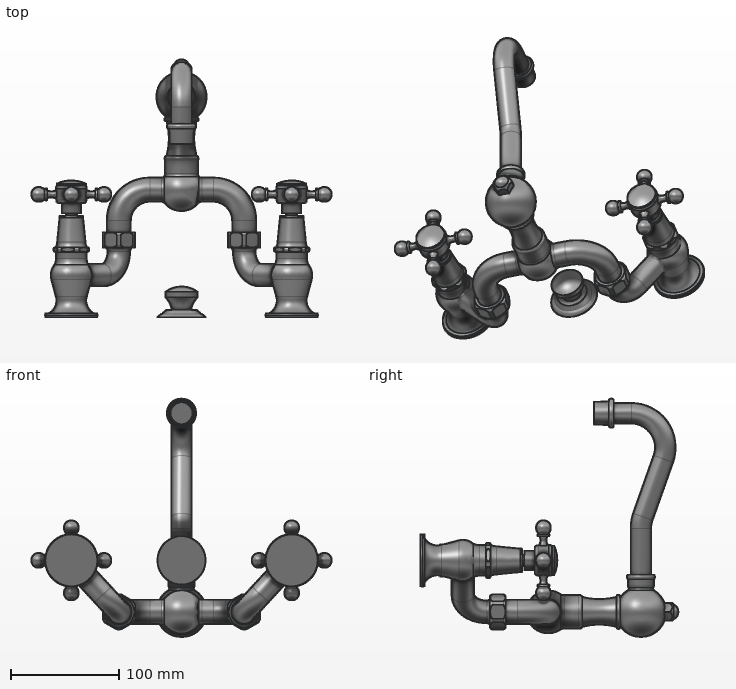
import cadquery as cq
import math


total_width = 277.24
total_depth = 238
total_height = 220.07
valve_x = 101.6
valve_z = 47.5
pipe_x = 57.8
inlet_y = 39
bridge_y = 117.8
spout_y = 203.3
spout_ball_radius = 23.3
outlet_z = 183.2

flange_radius = 24.3
flange_thickness = 3.8
flange_chamfer = 0.4
flare_foot = (20.5, flange_thickness)
flare_sag = 2.8
waist = (14.4, 19.3)
bulge_start = (18.6, 35.1)
bulge_end = (15.5, 48.5)
shoulder_end = (14.3, 54.3)
shoulder_sag = 0.3
band_start = (14.3, 60.2)
band_end = (14.3, 64.8)
cone_start = (13.2, 69.8)
cone_sag = 0.3
cone_end = (11, 91.8)
cone_top = (10.4, 93.7)
cone_top_sag = 0.3
stem_radius = 5.3
collar_radius = 9.05
collar_y = 95.8

band_flat_apothem = 15.4
band_flat_angle = -18

hub_bottom = (12.2, 105.3)
hub_side_start = (14.1, 108.5)
hub_side_end = (14.1, 118.5)
hub_top = (13.3, 121.2)
hub_round_sag = 0.5
cap_start = (13.6, 121.6)
cap_end = (13.6, 123.3)
cap_top_y = 126.4
arm_count = 4
arm_y = 113.4
arm_reach = total_width / 2 - valve_x
ball_radius = 6.95
arm_root = (4.6, 13.3)
arm_waist = (2.9, 18)
arm_neck = (3.7, 22.2)
bead_start = (4.6, 22.2)
bead_end = (4.6, 24.3)
ball_joint_station = 25.7

inlet_pipe_radius = 10.5
inlet_bend_radius = 22
inlet_fillet = 2
sleeve_start = (inlet_pipe_radius, inlet_y + inlet_bend_radius)
sleeve_end = (12, 64)
sleeve_sag = 0.4
nut_start_y = sleeve_end[1]
nut_end_y = 78.7
nut_radius = 16.3
nut_apothem = 15
nut_end_radius = 14.2
nut_end_length = 2.5
nut_end_sag = 0.4
bridge_pipe_radius = 11.25
bridge_bend_radius = 28.4
bridge_flare_start = (12.6, 15)
bridge_flare_end = (bridge_pipe_radius, 18.6)
bridge_flare_sag = 0.3

center_ball_radius = 19.9
body_flare = (16.1, 129.6)
body_flare_sag = 0.2
body_start = (15.6, 132.7)
body_end = (15.6, 145.4)
trumpet_start = (13.9, 149.2)
trumpet_end = (13.9, 180.8)
body_bead_sag = 0.8
trumpet_sag = 2
ring_inner_radius = 14.5
ring_end_y = 184.1
finial_apothem = 8.2
finial_start_y = 222
finial_corner = (9.4, 230)
finial_corner_sag = 0.3
finial_dome = (6.6, 233.8)

spout_tube_radius = 9.6
spout_bend_radius = 31.5
spout_lean = math.radians(19.5)
upper_bend_y = 194.3
socket_foot = (12, 19.8)
socket_neck = (11.3, 22.4)
socket_start = (12.1, 24.2)
socket_round_sag = 0.2
socket_bead_start = (12.1, 30)
socket_bead_end = (12.1, 34.4)
socket_bead_sag = 0.9
outlet_bead_start_y = 178.4
outlet_bead_end_y = 173.7
outlet_bead_radius = total_height - spout_ball_radius - outlet_z
outlet_bead_side_radius = 12.2
outlet_start_radius = 11.2
outlet_end_radius = 10.6
outlet_tip_chamfer = 0.5
outlet_tip_y = 159.6

plate_radius = 22.3
plate_step = (17.8, 3.5)
plate_step_sag = 0.4
plate_top = (14.2, 6.8)
knob_neck = (9.1, 6.8)
knob_start = (14.9, 18.4)
knob_neck_sag = 1.2
knob_end = (14.9, 23.5)
knob_top_y = 28.6


def outline(radius, station):
    """Start a half section on the axis and run out to the given radius."""
    return cq.Workplane("XY").moveTo(0, station).lineTo(radius, station)


def turned(half_section):
    """Close a half section along the axis and turn it about Y."""
    return half_section.close().revolve(360, (0, 0, 0), (0, 1, 0))


def ball(radius, y):
    return cq.Workplane("XY").sphere(radius).translate((0, y, 0))


def hex_bar(apothem, start_y, end_y, flat_angle):
    """Hexagonal bar along Y with one flat facing flat_angle degrees from +X towards -Z."""
    across_corners = 2 * apothem / math.cos(math.pi / 6)
    section = cq.Workplane("XZ").polygon(6, across_corners)
    bar = section.extrude(start_y - end_y).translate((0, start_y, 0))
    return bar.rotate((0, 0, 0), (0, 1, 0), 30 + flat_angle)


def tube(path, radius, plane):
    return cq.Workplane(plane).circle(radius).sweep(path)


def valve_body():
    rim_radius = flange_radius - flange_chamfer
    return turned(
        outline(rim_radius, 0)
        .lineTo(flange_radius, flange_thickness / 2)
        .lineTo(rim_radius, flange_thickness)
        .lineTo(*flare_foot)
        .sagittaArc(waist, flare_sag)
        .lineTo(*bulge_start)
        .tangentArcPoint(bulge_end, relative=False)
        .sagittaArc(shoulder_end, shoulder_sag)
        .lineTo(*band_end)
        .sagittaArc(cone_start, cone_sag)
        .lineTo(*cone_end)
        .sagittaArc(cone_top, -cone_top_sag)
        .lineTo(stem_radius, cone_top[1])
        .lineTo(stem_radius, collar_y)
        .lineTo(collar_radius, collar_y)
        .lineTo(collar_radius, hub_bottom[1])
        .lineTo(0, hub_bottom[1])
    )


def valve_band():
    """Half-round band with six flats."""
    half_width = (band_end[1] - band_start[1]) / 2
    band = turned(
        outline(*band_start)
        .sagittaArc(band_end, -half_width)
        .lineTo(0, band_end[1])
    )
    return band.intersect(hex_bar(band_flat_apothem, band_start[1], band_end[1], band_flat_angle))


def dome_sag(rim, top_y):
    """Sag of the half arc from a dome's rim to its top, for a dome that is level at the top."""
    rise = top_y - rim[1]
    dome_radius = (rim[0] ** 2 + rise**2) / (2 * rise)
    return dome_radius * (1 - math.cos(math.atan2(rise, rim[0])))


def handle_hub():
    return turned(
        outline(*hub_bottom)
        .sagittaArc(hub_side_start, -hub_round_sag)
        .lineTo(*hub_side_end)
        .sagittaArc(hub_top, -hub_round_sag)
        .lineTo(*cap_start)
        .lineTo(*cap_end)
        .sagittaArc((0, cap_top_y), -dome_sag(cap_end, cap_top_y))
    )


def handle_arm():
    """Arm along +Y with a flared root, a half-round bead and a ball end."""
    bead_half_width = (bead_end[1] - bead_start[1]) / 2
    ball_center = arm_reach - ball_radius
    joint_radius = math.sqrt(ball_radius**2 - (ball_center - ball_joint_station) ** 2)
    arm = turned(
        outline(arm_root[0], 0)
        .lineTo(*arm_root)
        .threePointArc(arm_waist, arm_neck)
        .lineTo(*bead_start)
        .sagittaArc(bead_end, -bead_half_width)
        .lineTo(joint_radius, ball_joint_station)
        .lineTo(0, ball_center)
    )
    return arm.union(ball(ball_radius, ball_center))


def cross_handle():
    """Hub on the Y axis with its arms."""
    handle = handle_hub()
    for index in range(arm_count):
        arm = handle_arm().rotate((0, 0, 0), (0, 0, 1), -90)
        arm = arm.rotate((0, 0, 0), (0, 1, 0), index * 360 / arm_count)
        handle = handle.union(arm.translate((0, arm_y, 0)))
    return handle


def inlet_pipe():
    """Pipe from inside the valve's bulge, sloping down to the nut axis, then turning along +Y."""
    run = math.hypot(valve_x - pipe_x, valve_z)
    slope = cq.Vector(pipe_x - valve_x, 0, -valve_z)
    path_plane = cq.Plane((valve_x, inlet_y, valve_z), slope, slope.cross(cq.Vector(0, 1, 0)))
    path = (
        cq.Workplane(path_plane)
        .lineTo(run - inlet_bend_radius, 0)
        .tangentArcPoint((inlet_bend_radius, inlet_bend_radius))
    )
    pipe = tube(path, inlet_pipe_radius, cq.Plane(path_plane.origin, (0, 1, 0), slope))
    sleeve = turned(
        outline(*sleeve_start)
        .sagittaArc(sleeve_end, sleeve_sag)
        .lineTo(0, sleeve_end[1])
    )
    return pipe.union(sleeve.translate((pipe_x, 0, 0)))


def union_nut():
    """Hexagonal nut whose corners are cut back to a cylinder with rounded ends."""
    blank = turned(
        outline(nut_end_radius, nut_start_y)
        .sagittaArc((nut_radius, nut_start_y + nut_end_length), -nut_end_sag)
        .lineTo(nut_radius, nut_end_y - nut_end_length)
        .sagittaArc((nut_end_radius, nut_end_y), -nut_end_sag)
        .lineTo(0, nut_end_y)
    )
    nut = blank.intersect(hex_bar(nut_apothem, nut_start_y, nut_end_y, 0))
    return nut.translate((pipe_x, 0, 0))


def bridge_pipe():
    """Pipe from the center ball along +X, bent back to the union nut."""
    path = (
        cq.Workplane("XY", origin=(0, bridge_y, 0))
        .lineTo(pipe_x - bridge_bend_radius, 0)
        .tangentArcPoint((bridge_bend_radius, -bridge_bend_radius))
        .lineTo(pipe_x, nut_end_y - bridge_y)
    )
    pipe = tube(path, bridge_pipe_radius, cq.Plane((0, bridge_y, 0), (0, 1, 0), (1, 0, 0)))
    flare = turned(
        outline(bridge_flare_start[0], 0)
        .lineTo(*bridge_flare_start)
        .sagittaArc(bridge_flare_end, bridge_flare_sag)
        .lineTo(0, bridge_flare_end[1])
    )
    return pipe.union(flare.rotate((0, 0, 0), (0, 0, 1), -90).translate((0, bridge_y, 0)))


def valve_on_pipe():
    """Valve and inlet pipe, with a small fillet where the pipe leaves the bulge.

    The seam between the two is the only free-form edge.
    """
    joined = valve_body().translate((valve_x, 0, valve_z)).union(inlet_pipe())
    seam = joined.edges().filter(lambda edge: edge.geomType() == "BSPLINE")
    return seam.fillet(inlet_fillet)


def faucet_side():
    """Everything on the +X side: valve, handle, pipes and nut."""
    on_valve = valve_band().union(cross_handle()).translate((valve_x, 0, valve_z))
    return valve_on_pipe().union(on_valve).union(union_nut()).union(bridge_pipe())


def spout_body():
    """Center ball, waisted neck and rear ball along the Y axis."""
    ring_half_width = (ring_end_y - trumpet_end[1]) / 2
    neck = turned(
        outline(body_flare[0], bridge_y)
        .lineTo(*body_flare)
        .sagittaArc(body_start, body_flare_sag)
        .lineTo(*body_end)
        .sagittaArc(trumpet_start, -body_bead_sag)
        .sagittaArc(trumpet_end, trumpet_sag)
        .sagittaArc((ring_inner_radius, ring_end_y), -ring_half_width)
        .lineTo(0, ring_end_y)
    )
    return neck.union(ball(center_ball_radius, bridge_y)).union(ball(spout_ball_radius, spout_y))


def rear_finial():
    """Hexagonal acorn nut with flats above and below and a domed end."""
    blank = turned(
        outline(finial_corner[0], finial_start_y)
        .lineTo(*finial_corner)
        .sagittaArc(finial_dome, -finial_corner_sag)
        .sagittaArc((0, total_depth), -dome_sag(finial_dome, total_depth))
    )
    return blank.intersect(hex_bar(finial_apothem, finial_start_y, total_depth, 30))


def spout_socket():
    """Collar around the foot of the spout, standing on the rear ball."""
    socket = turned(
        outline(socket_foot[0], 0)
        .lineTo(*socket_foot)
        .sagittaArc(socket_neck, socket_round_sag)
        .sagittaArc(socket_start, -socket_round_sag)
        .lineTo(*socket_bead_start)
        .sagittaArc(socket_bead_end, -socket_bead_sag)
        .lineTo(0, socket_bead_end[1])
    )
    return socket.rotate((0, 0, 0), (1, 0, 0), 90).translate((0, spout_y, 0))


def spout_tube():
    """Tube rising from the rear ball, leaning back, then arching forward to the outlet."""
    bend_rise = spout_bend_radius * math.sin(spout_lean)
    bend_shift = spout_bend_radius * (1 - math.cos(spout_lean))
    lean_start_y = spout_y + bend_shift
    lean_end_y = upper_bend_y + spout_bend_radius * math.cos(spout_lean)
    lean_end_z = outlet_z - spout_bend_radius - bend_rise
    lean_start_z = lean_end_z - (lean_end_y - lean_start_y) / math.tan(spout_lean)
    path = (
        cq.Workplane("YZ")
        .moveTo(spout_y, 0)
        .lineTo(spout_y, lean_start_z - bend_rise)
        .tangentArcPoint((lean_start_y, lean_start_z), relative=False)
        .lineTo(lean_end_y, lean_end_z)
        .tangentArcPoint((upper_bend_y, outlet_z), relative=False)
        .lineTo(outlet_bead_end_y, outlet_z)
    )
    return tube(path, spout_tube_radius, cq.Plane((0, spout_y, 0)))


def spout_outlet():
    """Half-round bead and slightly tapered nozzle."""
    bead_sag = outlet_bead_radius - outlet_bead_side_radius
    nozzle = turned(
        outline(outlet_end_radius - outlet_tip_chamfer, outlet_tip_y)
        .lineTo(outlet_end_radius, outlet_tip_y + outlet_tip_chamfer)
        .lineTo(outlet_start_radius, outlet_bead_end_y)
        .lineTo(outlet_bead_side_radius, outlet_bead_end_y)
        .sagittaArc((outlet_bead_side_radius, outlet_bead_start_y), -bead_sag)
        .lineTo(0, outlet_bead_start_y)
    )
    return nozzle.translate((0, 0, outlet_z))


def faucet():
    side = faucet_side()
    body = spout_body().union(rear_finial()).union(spout_socket()).union(spout_tube())
    return body.union(spout_outlet()).union(side).union(side.mirror("YZ"))


def drain_knob():
    knob = turned(
        outline(plate_radius, 0)
        .sagittaArc(plate_step, -plate_step_sag)
        .lineTo(*plate_top)
        .lineTo(*knob_neck)
        .sagittaArc(knob_start, knob_neck_sag)
        .lineTo(*knob_end)
        .sagittaArc((0, knob_top_y), -dome_sag(knob_end, knob_top_y))
    )
    return knob.translate((0, 0, valve_z))


result = cq.Compound.makeCompound([faucet().val(), drain_knob().val()])